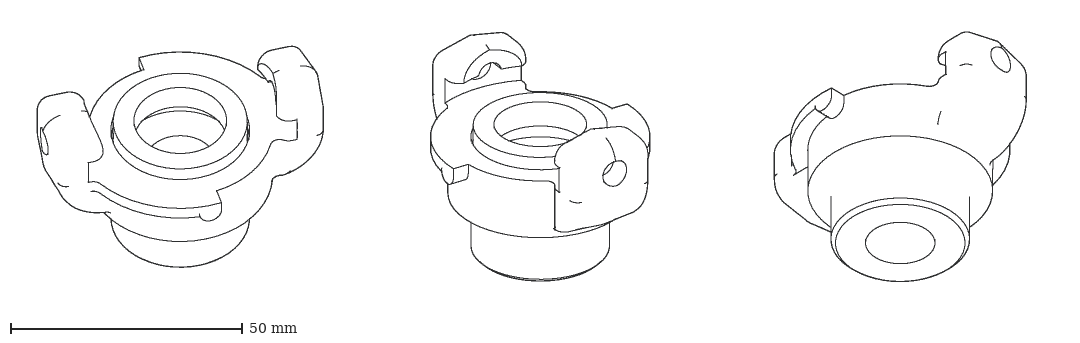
import cadquery as cq
import math

body_bottom = 14.0
pocket_floor = 20.7
ring_seat = 25.05
flange_top = 28.0
ring_rim = 30.8
ring_crest = 31.0
hook_bottom = 34.1
claw_top = 40.3

body_radius = 40.0 / 2
spigot_radius = 30.0 / 2
spigot_fillet = 2.0
spigot_chamfer = 1.0
bore_radius = 15.0 / 2

recess_radius = 30.0 / 2
pocket_radius = 29.9 / 2
pocket_fillet = 0.5
funnel_mouth_radius = 13
funnel_half_angle = math.radians(70)

ring_radius = 29.0 / 2
ring_bore_radius = 20.0 / 2

flange_radius = 47.5 / 2
flange_thickness = 3.0
nub_radius = 2.5
nub_axis_z = 25.8
flange_bottom = flange_top - flange_thickness

claw_half_width = 9.75
claw_outer_y = 31.0
claw_inner_y = 18.5
plan_slope = math.tan(math.radians(8))
roof_slope = math.tan(math.radians(7.5))
bend_radius = 11.55
crown_fillet = 4.95
outer_edge_fillet = 2.0
inner_edge_fillet = 3.0
root_fillet = 2.0
hook_face_radius = 20.85
throat_radius = 25.4
claw_hole_radius = 6.0 / 2
claw_hole_z = 33.3

plan_drop = claw_half_width * plan_slope
claw_outer_side_y = claw_outer_y - plan_drop
claw_inner_side_y = claw_inner_y + plan_drop
roof_side_z = claw_top - claw_half_width * roof_slope
claw_bottom = flange_top - bend_radius
neck_start_y = body_radius / 2

tolerance = 0.01
clearance = 6.2


def cylinder(radius, bottom, top):
    return cq.Workplane("XY").workplane(offset=bottom).circle(radius).extrude(top - bottom)


def prism(points, bottom, top):
    """Upright prism over a polygon in plan."""
    return cq.Workplane("XY").workplane(offset=bottom).polyline(points).close().extrude(top - bottom)


def fillet_where(body, radius, test):
    """Fillet the edges that pass the test."""
    return body.newObject([edge for edge in body.edges().vals() if test(edge)]).fillet(radius)


def at_claw_side(point):
    return abs(abs(point.x) - claw_half_width) < tolerance


def half_turn(body):
    return body.rotate((0, 0, 0), (0, 0, 1), 180)



def claw_head():
    """Hook above the flange, with its throat and its concave inner face."""
    w = claw_half_width
    plan = [
        (0, claw_outer_y), (w, claw_outer_side_y), (w, claw_inner_side_y),
        (0, claw_inner_y), (-w, claw_inner_side_y), (-w, claw_outer_side_y),
    ]
    roof = (
        cq.Workplane("XZ")
        .polyline([(-w, flange_top), (w, flange_top), (w, roof_side_z), (0, claw_top), (-w, roof_side_z)])
        .close()
        .extrude(-claw_outer_y)
    )
    head = prism(plan, flange_top, claw_top).intersect(roof)

    crown_start = roof_side_z - crown_fillet
    on_ridge = tolerance

    def is_roof_edge(edge):
        center = edge.Center()
        return center.z > roof_side_z - tolerance and abs(center.x) > on_ridge

    def is_inner_corner(edge):
        center = edge.Center()
        return at_claw_side(center) and center.z < crown_start and center.y < claw_inner_side_y + tolerance

    def is_outer_corner(edge):
        center = edge.Center()
        return at_claw_side(center) and center.z < crown_start and center.y > claw_outer_side_y - tolerance

    head = fillet_where(head, crown_fillet, is_roof_edge)
    head = fillet_where(head, inner_edge_fillet, is_inner_corner)
    head = fillet_where(head, outer_edge_fillet, is_outer_corner)

    head = head.cut(cylinder(throat_radius, flange_top, hook_bottom))
    return head.cut(cylinder(hook_face_radius, hook_bottom, claw_top))


def below_bend(side):
    """Material under the bend on one side of the ridge, sheared back along the plan slope."""
    bend_y = claw_outer_y - bend_radius
    far_y = claw_outer_y + clearance
    low_z = claw_bottom - clearance
    profile = (
        cq.Workplane("YZ")
        .moveTo(0, claw_bottom)
        .lineTo(bend_y, claw_bottom)
        .radiusArc((claw_outer_y, flange_top), -bend_radius)
        .lineTo(far_y, flange_top)
        .lineTo(far_y, low_z)
        .lineTo(0, low_z)
        .close()
    )
    reach = claw_half_width + clearance
    face = cq.Face.makeFromWires(profile.wires().val())
    return cq.Workplane(cq.Solid.extrudeLinear(face, cq.Vector(side * reach, -reach * plan_slope, 0)))


def claw_neck():
    """Bent neck below the flange top; its -X side runs straight back under the wing."""
    w = claw_half_width
    plan = [
        (0, claw_outer_y), (w, claw_outer_side_y), (w, neck_start_y),
        (-w, neck_start_y), (-w, claw_outer_side_y),
    ]
    neck = prism(plan, claw_bottom - clearance, flange_top)
    for side in (-1, 1):
        neck = neck.cut(below_bend(side))

    neck_middle = (claw_bottom + flange_top) / 2

    def is_bend_edge(edge):
        center = edge.Center()
        return at_claw_side(center) and center.z < neck_middle and center.y > neck_start_y + tolerance

    neck = fillet_where(neck, outer_edge_fillet, is_bend_edge)

    far_y = claw_outer_y + clearance
    trim = prism(
        [(-w, neck_start_y), (0, neck_start_y), (0, claw_inner_y), (w, claw_inner_side_y), (w, far_y), (-w, far_y)],
        0, claw_top,
    )

    def is_inner_corner(edge):
        center = edge.Center()
        upright = abs(edge.tangentAt(0).z) > 0.6 - tolerance
        return upright and center.x > w - tolerance and center.y < claw_outer_y

    return neck.intersect(fillet_where(trim, inner_edge_fillet, is_inner_corner))



def locking_wing():
    """Flange sector on the -X side; its end face drops into a half-round nub."""
    reach = flange_radius + clearance
    side = (
        cq.Workplane("YZ")
        .moveTo(reach, flange_top)
        .lineTo(-nub_radius, flange_top)
        .lineTo(-nub_radius, nub_axis_z)
        .threePointArc((0, nub_axis_z - nub_radius), (nub_radius, nub_axis_z))
        .lineTo(nub_radius, flange_bottom)
        .lineTo(reach, flange_bottom)
        .close()
        .extrude(-reach)
    )
    return side.intersect(cylinder(flange_radius, 0, claw_top))



def housing_blank():
    """Turned outside: body, filleted neck and chamfered spigot."""
    outline = (
        cq.Workplane("XZ")
        .lineTo(spigot_radius - spigot_chamfer, 0)
        .lineTo(spigot_radius, spigot_chamfer)
        .lineTo(spigot_radius, body_bottom - spigot_fillet)
        .radiusArc((spigot_radius + spigot_fillet, body_bottom), spigot_fillet)
        .lineTo(body_radius, body_bottom)
        .lineTo(body_radius, flange_top)
        .lineTo(0, flange_top)
        .close()
    )
    return outline.revolve(360, (0, 0, 0), (0, 1, 0))


def housing_cavity():
    """Through bore, funnel, pocket and ring recess as one turned shape."""
    funnel_bottom = pocket_floor - (funnel_mouth_radius - bore_radius) / math.tan(funnel_half_angle)
    outline = (
        cq.Workplane("XZ")
        .lineTo(bore_radius, 0)
        .lineTo(bore_radius, funnel_bottom)
        .lineTo(funnel_mouth_radius, pocket_floor)
        .lineTo(pocket_radius - pocket_fillet, pocket_floor)
        .radiusArc((pocket_radius, pocket_floor + pocket_fillet), -pocket_fillet)
        .lineTo(pocket_radius, ring_seat)
        .lineTo(recess_radius, ring_seat)
        .lineTo(recess_radius, flange_top)
        .lineTo(0, flange_top)
        .close()
    )
    return outline.revolve(360, (0, 0, 0), (0, 1, 0))


def is_claw_root(edge):
    """Edge where a claw neck meets the body cylinder."""
    points = [edge.positionAt(fraction) for fraction in (0, 0.3, 0.7, 1)]
    center = edge.Center()
    on_body = all(abs(math.hypot(p.x, p.y) - body_radius) < tolerance for p in points)
    under_rim = body_bottom + tolerance < center.z < flange_top - tolerance
    level_with_wing = abs(center.z - flange_bottom) < tolerance
    return on_body and under_rim and not level_with_wing and abs(center.x) < claw_half_width + tolerance


def is_wing_root(edge):
    """Upright edge where a wing rim meets the side of a claw."""
    center = edge.Center()
    mid_wing = abs(center.z - (flange_top + flange_bottom) / 2) < tolerance
    return at_claw_side(center) and mid_wing and body_radius < abs(center.y) < flange_radius


def make_housing():
    body = housing_blank()
    for part in (locking_wing(), claw_neck(), claw_head()):
        body = body.union(part).union(half_turn(part))
    body = fillet_where(body, root_fillet, lambda edge: is_claw_root(edge) or is_wing_root(edge))
    body = body.cut(housing_cavity())
    claw_hole = (
        cq.Workplane("XZ")
        .center(0, claw_hole_z)
        .circle(claw_hole_radius)
        .extrude(claw_outer_y + clearance, both=True)
    )
    return body.cut(claw_hole)



def make_seal_ring():
    """Ring standing on the recess seat, its top rising gently towards the bore."""
    section = (
        cq.Workplane("XZ")
        .polyline([
            (ring_bore_radius, ring_seat), (ring_radius, ring_seat),
            (ring_radius, ring_rim), (ring_bore_radius, ring_crest),
        ])
        .close()
    )
    return section.revolve(360, (0, 0, 0), (0, 1, 0))


housing = make_housing().solids()
seal_ring = make_seal_ring()

result = cq.Compound.makeCompound([housing.val(), seal_ring.val()])